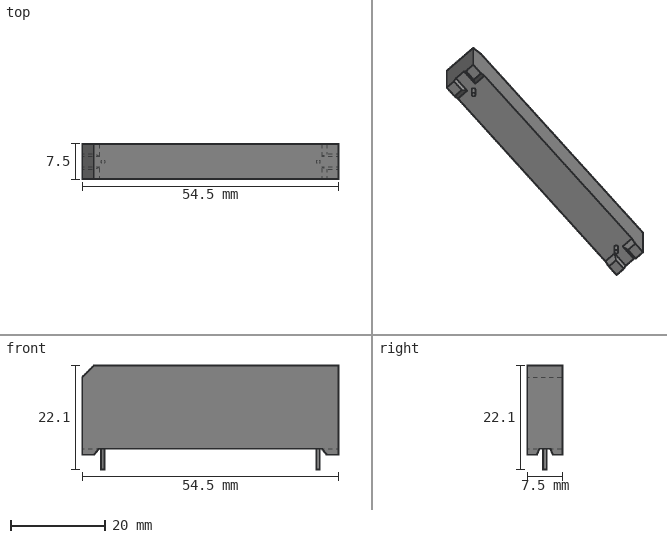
import cadquery as cq

LENGTH = 54.5
WIDTH = 7.5
TOTAL_HEIGHT = 22.1
CORNER_CHAMFER = 2.5

FOOT_HEIGHT = 1.3
FOOT_LENGTH = 2.5
FOOT_WIDTH = 2.05
FOOT_SLOPE_X = 1.1
FOOT_SLOPE_Y = 0.55

PIN_DIAMETER = 0.8
PIN_SPACING = 45.7
PIN_DROP = 3.1

HOUSING_HEIGHT = TOTAL_HEIGHT - PIN_DROP
PIN_LENGTH = PIN_DROP + FOOT_HEIGHT


def make_notch(plane, mouth_width, slope, depth):
    """Trapezoidal notch rising from the soles, centred on the part and running its full depth."""
    half_mouth = mouth_width / 2
    half_floor = half_mouth - slope
    return (
        cq.Workplane(plane)
        .moveTo(-half_mouth, 0)
        .lineTo(-half_floor, FOOT_HEIGHT)
        .lineTo(half_floor, FOOT_HEIGHT)
        .lineTo(half_mouth, 0)
        .close()
        .extrude(depth / 2, both=True)
    )


def make_housing():
    """Block with one chamfered top corner and crossing notches underneath."""
    block = cq.Workplane("XY").box(LENGTH, WIDTH, HOUSING_HEIGHT, centered=(True, True, False))
    block = block.edges(">Z and <X").chamfer(CORNER_CHAMFER)
    long_notch = make_notch("XZ", LENGTH - 2 * FOOT_LENGTH, FOOT_SLOPE_X, WIDTH)
    short_notch = make_notch("YZ", WIDTH - 2 * FOOT_WIDTH, FOOT_SLOPE_Y, LENGTH)
    return block.cut(long_notch).cut(short_notch)


def make_pin(x):
    """Round pin hanging from the underside of the housing."""
    return (
        cq.Workplane("XY", origin=(x, 0, -PIN_DROP))
        .circle(PIN_DIAMETER / 2)
        .extrude(PIN_LENGTH)
    )


housing = make_housing()
pins = [make_pin(side * PIN_SPACING / 2) for side in (-1, 1)]

result = cq.Compound.makeCompound([housing.val(), *[pin.val() for pin in pins]])